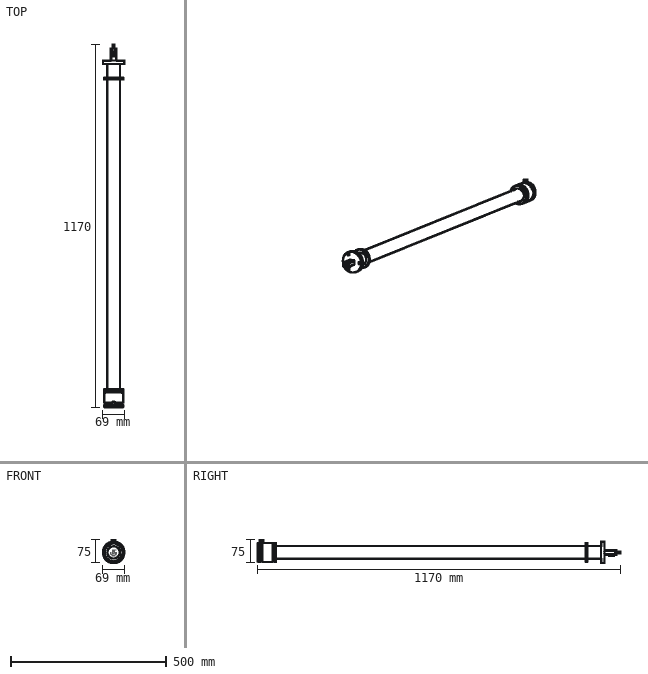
import cadquery as cq

TOTAL_LENGTH = 1170.0
TOTAL_HEIGHT = 75.0
TUBE_DIA = 42.0

COLLAR_LENGTH = 60.0
COLLAR_DIA = 62.0
FRONT_RIM = 9.0
BACK_RIM = 6.0
FRONT_RIM_CHAMFER = 2.0
BACK_RIM_CHAMFER = 1.0
GROOVE_DIA = 54.0
GROOVE_WIDTH = 6.0

RECESS_DIA = 40.0
RECESS_DEPTH = 2.0

SLOT_X = 25.0
SLOT_LENGTH = 16.0
SLOT_WIDTH = 7.0
SLOT_DEPTH = 6.0

SCREW_Y = FRONT_RIM + GROOVE_WIDTH / 2
HEAD_DIA = 13.0
HEAD_HEIGHT = 5.0
SHANK_DIA = 8.0

RING_BACK = 1063.0
RING_THICKNESS = 7.0
RING_CHAMFER = 1.0

FLANGE_BACK = 1118.0
FLANGE_THICKNESS = 12.0
FLANGE_DIA = 69.0
BOLT_ANGLES = (60, 180, 300)
BOLT_RADIUS = 28.0
BOLT_HOLE_DIA = 7.0

BODY_END = 1157.0
BODY_WIDTH = 19.0
BODY_HEIGHT = 15.0
BODY_CHAMFER = 2.0
NECK_WIDTH = 10.0
NECK_LENGTH = 4.0
NECK_BACK = 1156.0

PIN_DIA = 6.0
PIN_POSITIONS = (1135.0, 1145.0)
PIN_DROP = 4.0
PIN_RECESS = 2.0

TIP_DIA = 7.0
NOTCH_LENGTH = 6.0
NOTCH_DEPTH = 2.0


def disc(diameter, y_start, y_end):
    """Solid cylinder on the Y axis."""
    return cq.Workplane("XZ", origin=(0, y_start, 0)).circle(diameter / 2).extrude(y_start - y_end)


def post(diameter, y, z_start, z_end):
    """Vertical cylinder in the middle plane of the part."""
    return cq.Workplane("XY", origin=(0, y, z_start)).circle(diameter / 2).extrude(z_end - z_start)


def bar(width, height, y_start, y_end):
    """Rectangular bar centred on the Y axis."""
    length = y_end - y_start
    return cq.Workplane("XY", origin=(0, y_start + length / 2, 0)).box(width, length, height)


def chamfered_disc(diameter, y_start, y_end, chamfer):
    """Disc with both rim edges chamfered."""
    return disc(diameter, y_start, y_end).edges().chamfer(chamfer)


def collar():
    back_rim_start = COLLAR_LENGTH - BACK_RIM
    body = disc(GROOVE_DIA, 0, COLLAR_LENGTH)
    body = body.union(disc(COLLAR_DIA, FRONT_RIM + GROOVE_WIDTH, back_rim_start - GROOVE_WIDTH))
    body = body.union(chamfered_disc(COLLAR_DIA, 0, FRONT_RIM, FRONT_RIM_CHAMFER))
    body = body.union(chamfered_disc(COLLAR_DIA, back_rim_start, COLLAR_LENGTH, BACK_RIM_CHAMFER))
    body = body.cut(disc(RECESS_DIA, 0, RECESS_DEPTH))
    slot = (
        cq.Workplane("XZ")
        .center(SLOT_X, 0)
        .slot2D(SLOT_LENGTH, SLOT_WIDTH, 90)
        .extrude(-SLOT_DEPTH)
    )
    return body.cut(slot)


def thumb_screw():
    screw_top = TOTAL_HEIGHT - FLANGE_DIA / 2
    shank = post(SHANK_DIA, SCREW_Y, TUBE_DIA / 2, screw_top)
    return shank.union(post(HEAD_DIA, SCREW_Y, screw_top - HEAD_HEIGHT, screw_top))


def stop_ring():
    return chamfered_disc(COLLAR_DIA, RING_BACK - RING_THICKNESS, RING_BACK, RING_CHAMFER)


def drive_pin():
    pin = bar(BODY_WIDTH, BODY_HEIGHT, FLANGE_BACK, BODY_END).edges("|Y").chamfer(BODY_CHAMFER)
    neck_start = NECK_BACK - NECK_LENGTH
    neck_cut = bar(BODY_WIDTH, BODY_HEIGHT, neck_start, NECK_BACK)
    pin = pin.cut(neck_cut.cut(bar(NECK_WIDTH, BODY_HEIGHT, neck_start, NECK_BACK)))
    half_height = BODY_HEIGHT / 2
    for y in PIN_POSITIONS:
        pin = pin.union(post(PIN_DIA, y, -half_height - PIN_DROP, 0))
        pin = pin.cut(post(PIN_DIA, y, half_height - PIN_RECESS, half_height))
    tip = disc(TIP_DIA, BODY_END, TOTAL_LENGTH)
    notch = bar(TIP_DIA, NOTCH_DEPTH, BODY_END, BODY_END + NOTCH_LENGTH)
    notch = notch.translate((0, 0, (TIP_DIA - NOTCH_DEPTH) / 2))
    return pin.union(tip.cut(notch))


def drive_flange():
    flange_front = FLANGE_BACK - FLANGE_THICKNESS
    flange = disc(FLANGE_DIA, flange_front, FLANGE_BACK)
    for angle in BOLT_ANGLES:
        hole = disc(BOLT_HOLE_DIA, flange_front, FLANGE_BACK).translate((BOLT_RADIUS, 0, 0))
        flange = flange.cut(hole.rotate((0, 0, 0), (0, 1, 0), -angle))
    return flange


result = disc(TUBE_DIA, COLLAR_LENGTH, FLANGE_BACK)
for piece in (collar(), thumb_screw(), stop_ring(), drive_flange(), drive_pin()):
    result = result.union(piece)